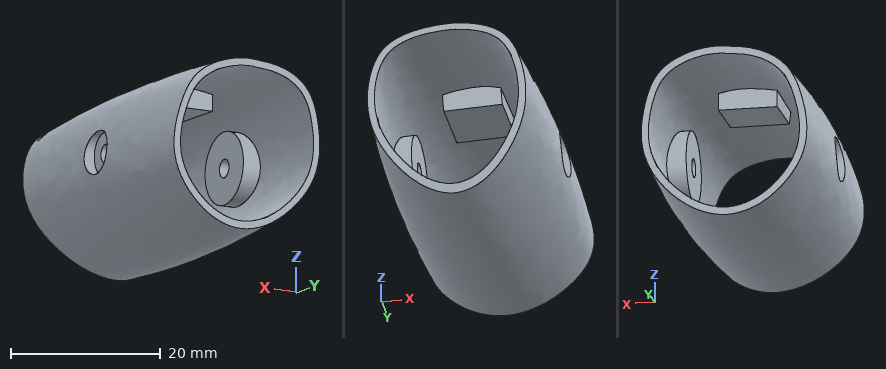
import cadquery as cq
import math


HALF_WIDTH = (11.88, 2.6, 0.0020)
TOP_HEIGHT = (10.4, 8.3, 0.0020)
BOTTOM_DEPTH = (13.84, -3.5, 0.0029)
WALL = 1.0

UPPER_SHAPE = [(0.475, 0.912), (0.785, 0.68), (0.954, 0.26)]
WIDEST_LEVEL = -0.09
LOWER_SHAPE = [(0.962, -0.336), (0.700, -0.706), (0.323, -0.939)]

BACK_TOP = (21.4, 10.1)
BACK_BOTTOM = (18.05, -12.5)
FRONT_TOP = (-22.1, 8.5)
FRONT_MIDDLE = (-20.6, -0.85)
FRONT_BOTTOM = (-14.55, -13.5)
TRIM_MARGIN = 2.0

SECTION_REACH = 26.0
SECTION_COUNT = 5

BOSS_DIAMETER = 10.0
BOSS_FACE_X = 8.2
BOSS_FLOOR = 2.0
HOLE_DIAMETER = 2.5
COUNTERBORE_DIAMETER = 6.0

PAD_WIDTH = 8.0
PAD_LENGTH = 8.0
PAD_FACE_Z = 6.6
PAD_FRONT_LEAN = 26.0


def limit_at(limit, y):
    peak, peak_y, curvature = limit
    return peak - curvature * (y - peak_y) ** 2


def section_wire(y, inset):
    """Closed cross-section at y, moved inward by inset."""
    width = limit_at(HALF_WIDTH, y) - inset
    top = limit_at(TOP_HEIGHT, y) - inset
    bottom = limit_at(BOTTOM_DEPTH, y) - inset
    right_side = UPPER_SHAPE + [(1.0, WIDEST_LEVEL)] + LOWER_SHAPE
    left_side = [(-u, v) for u, v in reversed(right_side)]
    outline = [(0.0, 1.0)] + right_side + [(0.0, -1.0)] + left_side
    points = [cq.Vector(u * width, y, v * (top if v > 0 else bottom)) for u, v in outline]
    return cq.Wire.assembleEdges([cq.Edge.makeSpline(points, periodic=True)])


def barrel(inset):
    """Solid lofted through the cross-sections along Y."""
    spacing = 2 * SECTION_REACH / (SECTION_COUNT - 1)
    stations = [-SECTION_REACH + i * spacing for i in range(SECTION_COUNT)]
    return cq.Workplane(cq.Solid.makeLoft([section_wire(y, inset) for y in stations]))


def on_back_face(z):
    """Point of the sloping back face at height z."""
    slope = (BACK_TOP[0] - BACK_BOTTOM[0]) / (BACK_TOP[1] - BACK_BOTTOM[1])
    return (BACK_TOP[0] + slope * (z - BACK_TOP[1]), z)


def trim_block():
    """Side profile bounded by the straight back face and the arched front face."""
    ceiling = TOP_HEIGHT[0] + TRIM_MARGIN
    floor = -BOTTOM_DEPTH[0] - TRIM_MARGIN
    run = (FRONT_BOTTOM[0] - FRONT_MIDDLE[0]) / (FRONT_BOTTOM[1] - FRONT_MIDDLE[1])
    front_floor = (FRONT_BOTTOM[0] + run * (floor - FRONT_BOTTOM[1]), floor)
    return (
        cq.Workplane("YZ")
        .moveTo(*on_back_face(ceiling))
        .lineTo(FRONT_TOP[0], ceiling)
        .lineTo(*FRONT_TOP)
        .threePointArc(FRONT_MIDDLE, FRONT_BOTTOM)
        .lineTo(*front_floor)
        .lineTo(*on_back_face(floor))
        .close()
        .extrude(HALF_WIDTH[0] + TRIM_MARGIN, both=True)
    )


def side_cylinder(side, diameter, start_x):
    """Cylinder along X from start_x outward past the wall, on side +1 or -1."""
    length = HALF_WIDTH[0] + TRIM_MARGIN - start_x
    return (
        cq.Workplane("YZ", origin=(side * start_x, 0, 0))
        .circle(diameter / 2)
        .extrude(side * length)
    )


def roof_pad():
    """Block with a leaning front face, reaching from the pad face up through the roof."""
    height = TOP_HEIGHT[0] - PAD_FACE_Z
    overhang = height * math.tan(math.radians(PAD_FRONT_LEAN))
    return (
        cq.Workplane("YZ", origin=(0, -PAD_LENGTH / 2, PAD_FACE_Z))
        .polyline([(0, 0), (PAD_LENGTH, 0), (PAD_LENGTH, height), (-overhang, height)])
        .close()
        .extrude(PAD_WIDTH / 2, both=True)
    )


outer = barrel(0).intersect(trim_block())
cavity = barrel(WALL).cut(roof_pad())
for side in (1, -1):
    cavity = cavity.cut(side_cylinder(side, BOSS_DIAMETER, BOSS_FACE_X))

sleeve = outer.cut(cavity)
for side in (1, -1):
    sleeve = sleeve.cut(side_cylinder(side, HOLE_DIAMETER, 0))
    sleeve = sleeve.cut(side_cylinder(side, COUNTERBORE_DIAMETER, BOSS_FACE_X + BOSS_FLOOR))

result = sleeve